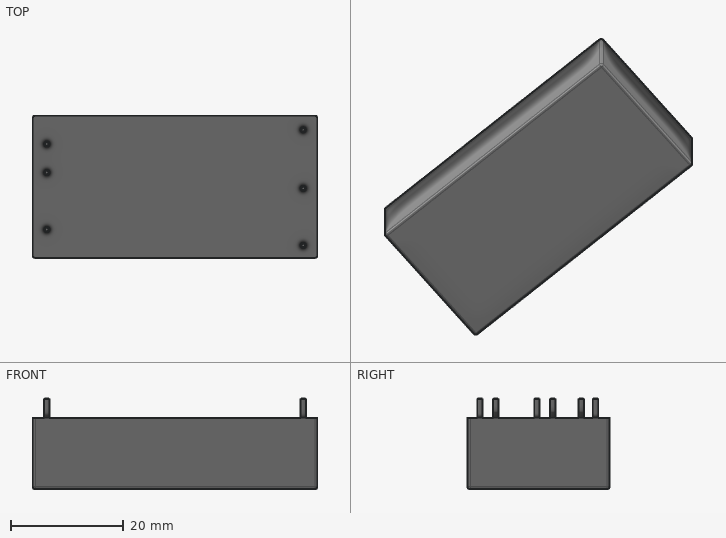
import cadquery as cq

BODY_LENGTH = 50.8
BODY_WIDTH = 25.4
BODY_HEIGHT = 12.7
EDGE_RADIUS = 0.5

PIN_DIAMETER = 1.0
PIN_LENGTH = 3.5
PIN_TIP_CHAMFER = 0.2
PIN_ROW_INSET = 2.54
LEFT_PIN_Y = (7.62, 2.54, -7.62)
RIGHT_PIN_Y = (10.16, -0.29, -10.45)


def make_body():
    """Block with rounded vertical corners and a rounded bottom rim."""
    block = cq.Workplane("XY").box(
        BODY_LENGTH, BODY_WIDTH, BODY_HEIGHT, centered=(True, True, False)
    )
    return block.edges("|Z or <Z").fillet(EDGE_RADIUS)


def make_pin(x, y):
    """Round pin with a chamfered tip, standing on the top face."""
    return (
        cq.Workplane("XY", origin=(x, y, BODY_HEIGHT))
        .circle(PIN_DIAMETER / 2)
        .extrude(PIN_LENGTH)
        .faces(">Z")
        .chamfer(PIN_TIP_CHAMFER)
    )


row_x = BODY_LENGTH / 2 - PIN_ROW_INSET

result = make_body()
for x, pin_positions in ((-row_x, LEFT_PIN_Y), (row_x, RIGHT_PIN_Y)):
    for y in pin_positions:
        result = result.union(make_pin(x, y))